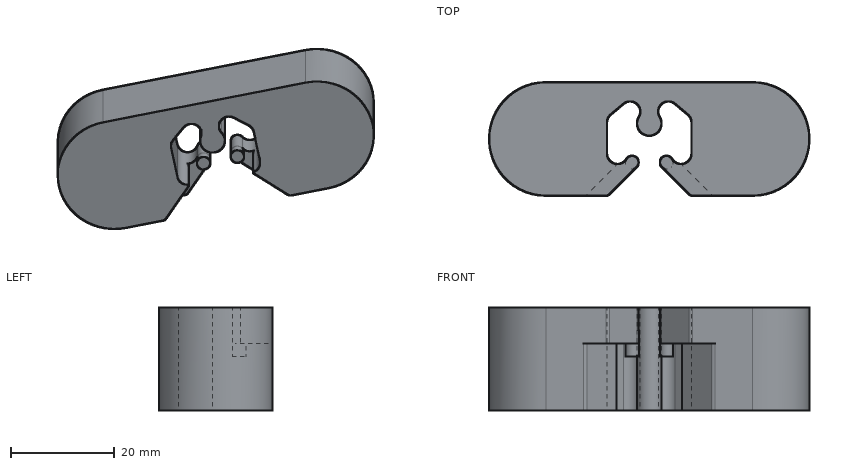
import cadquery as cq
import math

length = 62.0
width = 22.0
height = 20.0
front_y = -width / 2

wall_x = 8.15
pocket_radius = 2.0
pocket_x = wall_x - pocket_radius
pocket_y = -2.82
bulb_radius = 2.4
bulb_y = 3.0
lobe_radius = 1.95
lobe_x = 3.7
corner_radius = 2.0
back_normal = 50.0

lip_thickness = 7.0
lip_nose_radius = 1.3
lip_nose_x = 3.33
wide_nose_radius = 0.2
wide_nose_x = 6.56
mouth_edge_radius = 1.0

pin_drop = 2.5

touch_tolerance = 1e-6
lip_bottom_z = height - lip_thickness

mouth_slope = 45
mouth_touch = 180 + mouth_slope


def on_circle(center, radius, degrees):
    """Point on a circle at the given angle from +X."""
    angle = math.radians(degrees)
    return (center[0] + radius * math.cos(angle), center[1] + radius * math.sin(angle))


def direction(start, end):
    """Angle in degrees of the line from start to end."""
    return math.degrees(math.atan2(end[1] - start[1], end[0] - start[0]))


def mirrored(arc):
    """The same arc on the other side of X = 0, run through backwards."""
    center, radius, start_angle, end_angle = arc
    return ((-center[0], center[1]), radius, 180 - end_angle, 180 - start_angle)


def outline_of_arcs(arcs, z):
    """Closed outline at height z: the arcs in order, joined by straight lines where they do not touch."""
    end = on_circle(*arcs[0][:3])
    path = cq.Workplane("XY", origin=(0, 0, z)).moveTo(*end)
    for center, radius, start_angle, end_angle in arcs:
        start = on_circle(center, radius, start_angle)
        if math.dist(start, end) > touch_tolerance:
            path = path.lineTo(*start)
        end = on_circle(center, radius, end_angle)
        path = path.threePointArc(on_circle(center, radius, (start_angle + end_angle) / 2), end)
    return path.close()


def nose_center(nose_x, nose_radius):
    """Center of a lip nose that touches the front pocket from below."""
    reach = pocket_radius + nose_radius
    return (nose_x, pocket_y - math.sqrt(reach ** 2 - (pocket_x - nose_x) ** 2))


def passage(nose_x, nose_radius, bottom, top):
    """The passage between two heights, with the mouth flaring forward from its noses."""
    nose = nose_center(nose_x, nose_radius)
    pocket = (pocket_x, pocket_y)
    bulb = (0, bulb_y)
    lobe_reach = bulb_radius + lobe_radius
    lobe = (lobe_x, bulb_y + math.sqrt(lobe_reach ** 2 - lobe_x ** 2))

    mouth_x = sum(on_circle(nose, nose_radius, mouth_touch)) - front_y
    mouth_setback = mouth_edge_radius * math.tan(math.radians(mouth_slope / 2))
    mouth_edge = (mouth_x + mouth_setback, front_y + mouth_edge_radius)

    wall_touch = on_circle(lobe, lobe_radius, back_normal)
    back_corner_y = wall_touch[1] - (wall_x - wall_touch[0]) / math.tan(math.radians(back_normal))
    corner = (wall_x - corner_radius, back_corner_y - corner_radius * math.tan(math.radians(back_normal / 2)))

    nose_contact = direction(nose, pocket)
    lobe_contact = direction(bulb, lobe)
    right_side = [
        (mouth_edge, mouth_edge_radius, 270, mouth_touch),
        (nose, nose_radius, mouth_touch, nose_contact),
        (pocket, pocket_radius, nose_contact + 180, 360),
        (corner, corner_radius, 0, back_normal),
        (lobe, lobe_radius, back_normal, lobe_contact + 180),
    ]
    bulb_end = (bulb, bulb_radius, lobe_contact, -180 - lobe_contact)
    left_side = [mirrored(arc) for arc in reversed(right_side)]
    return outline_of_arcs(right_side + [bulb_end] + left_side, bottom).extrude(top - bottom)


def lip_pins():
    """Round pins that continue the lip noses below the lips."""
    nose = nose_center(lip_nose_x, lip_nose_radius)
    centers = [nose, (-nose[0], nose[1])]
    pins = cq.Workplane("XY", origin=(0, 0, lip_bottom_z - pin_drop)).pushPoints(centers)
    return pins.circle(lip_nose_radius).extrude(pin_drop)


body = cq.Workplane("XY").slot2D(length, width).extrude(height)
body = body.cut(passage(lip_nose_x, lip_nose_radius, lip_bottom_z, height))
body = body.cut(passage(wide_nose_x, wide_nose_radius, 0, lip_bottom_z))
result = body.union(lip_pins(), clean=False)